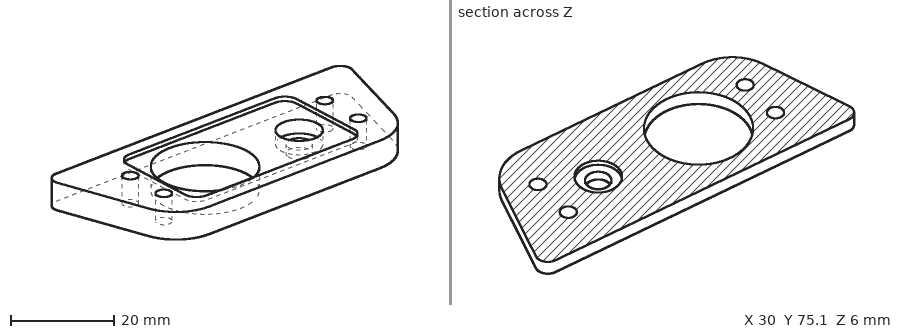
import cadquery as cq
import math

width = 30.0
length = 75.1
thickness = 6.0
end_slope = math.radians(17.5)
left_radius = 2.5
right_radius = 10.0

pocket_left = -12.0
pocket_right = 11.05
pocket_top = 21.0
pocket_bottom = -22.0
pocket_radius = 3.0
pocket_depth = 1.0

large_hole_diameter = 21.0
large_hole_y = -10.0
bore_diameter = 5.1
counterbore_diameter = 9.2
counterbore_depth = 3.0
bore_y = 14.0
screw_hole_diameter = 3.2
screw_spacing_x = 10.0
screw_spacing_y = 49.5


def make_plate():
    """Symmetric trapezoid whose rounded left corners reach the full length."""
    left_corner_rise = left_radius * (1 / math.cos(end_slope) + math.tan(end_slope) - 1)
    left_y = length / 2 + left_corner_rise
    right_y = left_y - width * math.tan(end_slope)
    corners = [
        (-width / 2, -left_y),
        (width / 2, -right_y),
        (width / 2, right_y),
        (-width / 2, left_y),
    ]
    plate = cq.Workplane("XY").polyline(corners).close().extrude(thickness)
    plate = plate.edges("|Z and <X").fillet(left_radius)
    return plate.edges("|Z and >X").fillet(right_radius)


def make_pocket():
    center_x = (pocket_left + pocket_right) / 2
    center_y = (pocket_bottom + pocket_top) / 2
    return (
        cq.Workplane("XY", origin=(center_x, center_y, thickness - pocket_depth))
        .rect(pocket_right - pocket_left, pocket_top - pocket_bottom)
        .extrude(pocket_depth)
        .edges("|Z")
        .fillet(pocket_radius)
    )


def make_cylinder(diameter, y, bottom_z=0.0):
    """Cutting cylinder on the plate's long axis, reaching up to the top face."""
    return (
        cq.Workplane("XY", origin=(0, y, bottom_z))
        .circle(diameter / 2)
        .extrude(thickness - bottom_z)
    )


def make_screw_holes():
    return (
        cq.Workplane("XY")
        .rarray(screw_spacing_x, screw_spacing_y, 2, 2)
        .circle(screw_hole_diameter / 2)
        .extrude(thickness)
    )


counterbore_floor = thickness - pocket_depth - counterbore_depth

result = (
    make_plate()
    .cut(make_pocket())
    .cut(make_cylinder(large_hole_diameter, large_hole_y))
    .cut(make_cylinder(bore_diameter, bore_y))
    .cut(make_cylinder(counterbore_diameter, bore_y, counterbore_floor))
    .cut(make_screw_holes())
)